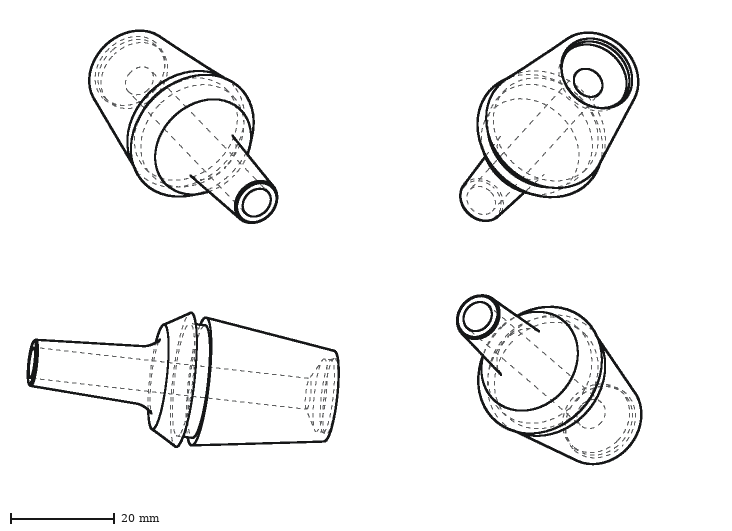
import cadquery as cq
import math

overall_length = 59.0
body_end = 26.0
groove_end = 29.0
flange_end = 34.0
neck_cone_end = 35.9
shank_start = 37.7

body_mouth_radius = 8.85
body_large_radius = 12.5
groove_radius = 11.0
flange_radius = 13.115
shank_root_radius = 5.625

flange_angle = math.radians(30)
neck_angle = math.radians(30)
shank_angle = math.radians(3)

root_fillet_radius = 2.0
mouth_fillet = 0.5
tip_chamfer = 0.3

bore_radius = 3.0
recess_radius = 7.1
recess_depth = 2.0
recess_chamfer_length = 0.6
recess_chamfer_height = 0.35
drill_half_angle = math.radians(60)


def drop(length, angle):
    """Radius lost by a taper over an axial length."""
    return length * math.tan(angle)


def turned_blank():
    """Solid body, groove, flange, flared neck and tapered shank."""
    flange_small_radius = flange_radius - drop(flange_end - groove_end, flange_angle)
    shank_tip_radius = shank_root_radius - drop(overall_length - shank_start, shank_angle)
    tip_chamfer_start = overall_length - tip_chamfer
    shank_end_radius = shank_root_radius - drop(tip_chamfer_start - shank_start, shank_angle)

    blend_radius = (shank_start - neck_cone_end) / (math.sin(neck_angle) - math.sin(shank_angle))
    neck_end_radius = shank_root_radius + blend_radius * (math.cos(shank_angle) - math.cos(neck_angle))

    neck_cone_start = flange_end + root_fillet_radius * (1 - math.sin(neck_angle))
    neck_start_radius = neck_end_radius + drop(neck_cone_end - neck_cone_start, neck_angle)
    root_start_radius = neck_start_radius + root_fillet_radius * math.cos(neck_angle)

    profile = (
        cq.Workplane("XY")
        .lineTo(0, body_mouth_radius)
        .lineTo(body_end, body_large_radius)
        .lineTo(body_end, groove_radius)
        .lineTo(groove_end, groove_radius)
        .lineTo(groove_end, flange_radius)
        .lineTo(flange_end, flange_small_radius)
        .lineTo(flange_end, root_start_radius)
        .tangentArcPoint((neck_cone_start, neck_start_radius), relative=False)
        .lineTo(neck_cone_end, neck_end_radius)
        .tangentArcPoint((shank_start, shank_root_radius), relative=False)
        .lineTo(tip_chamfer_start, shank_end_radius)
        .lineTo(overall_length, shank_tip_radius - tip_chamfer)
        .lineTo(overall_length, 0)
        .close()
    )
    blank = profile.revolve(360, (0, 0, 0), (1, 0, 0))
    return blank.faces("<X").edges().fillet(mouth_fillet)


def bore():
    """Through hole with a chamfered recess and drill-point cone at the mouth."""
    cone_length = (recess_radius - bore_radius) / math.tan(drill_half_angle)
    profile = (
        cq.Workplane("XY")
        .lineTo(0, recess_radius + recess_chamfer_height)
        .lineTo(recess_chamfer_length, recess_radius)
        .lineTo(recess_depth, recess_radius)
        .lineTo(recess_depth + cone_length, bore_radius)
        .lineTo(overall_length, bore_radius)
        .lineTo(overall_length, 0)
        .close()
    )
    return profile.revolve(360, (0, 0, 0), (1, 0, 0))


result = turned_blank().cut(bore())